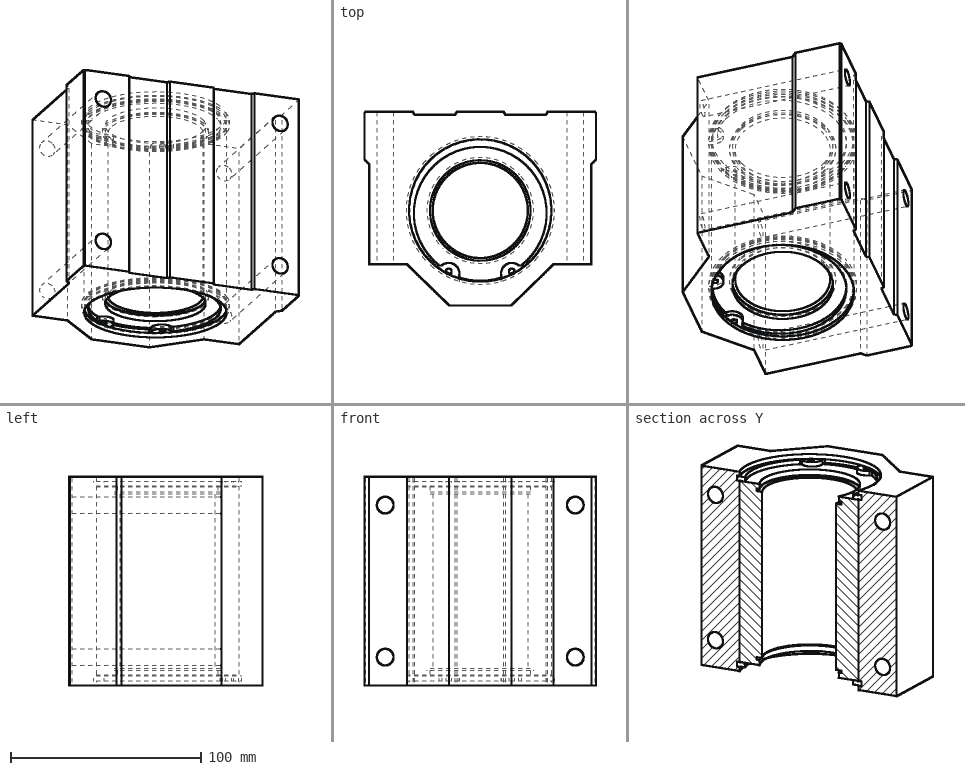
import cadquery as cq

WIDTH = 122.0
DEPTH = 102.0
HEIGHT = 110.0
BACK_Y = 52.0
NOSE_Y = BACK_Y - DEPTH

HEAD_BOTTOM_Y = 26.8
SIDE_STEP = 2.6
SHOULDER_Y = -28.3
SHOULDER_X = 38.7
NOSE_HALF_WIDTH = 16.3
BACK_CHAMFER = 0.7

CHANNEL_INNER_X = 12.3
CHANNEL_OUTER_X = 35.5
CHANNEL_DEPTH = 1.6
CHANNEL_TAPER = 1.0

MOUNT_HOLE_DIAMETER = 8.7
MOUNT_SPACING_X = 100.0
MOUNT_SPACING_Z = 80.0

BEARING_DIAMETER = 75.0
BEARING_LENGTH = 100.0
BEARING_BORE = 50.0
BEARING_CHAMFER = 0.5
LIP_DIAMETER = 53.0
LIP_DEPTH = 3.0
UNDERCUT_DIAMETER = 56.0
UNDERCUT_WIDTH = 1.1

RING_THICKNESS = 2.5
RING_DIAMETER = 78.0
RING_INNER_DIAMETER = 69.9
RING_INNER_OFFSET = 1.5
LUG_X = 16.6
LUG_Y = -33.2
LUG_RADIUS = 5.6
LUG_HOLE_Y = -32.1
LUG_HOLE_DIAMETER = 3.0
WEB_OUTER_X = 22.2
WEB_TOP_Y = -28.9
GAP_HALF_WIDTH = LUG_X - LUG_RADIUS
RING_BOTTOMS = (BEARING_LENGTH / 2, -BEARING_LENGTH / 2 - RING_THICKNESS)


def disc(diameter, bottom, height):
    """Solid cylinder on the bearing axis."""
    return cq.Workplane("XY").workplane(offset=bottom).circle(diameter / 2).extrude(height)


def make_block():
    """Housing outline, drawn as its right half and mirrored."""
    half_width = WIDTH / 2
    channel_y = BACK_Y - CHANNEL_DEPTH
    right_half = [
        (0, BACK_Y),
        (CHANNEL_INNER_X, BACK_Y),
        (CHANNEL_INNER_X + CHANNEL_TAPER, channel_y),
        (CHANNEL_OUTER_X - CHANNEL_TAPER, channel_y),
        (CHANNEL_OUTER_X, BACK_Y),
        (half_width - BACK_CHAMFER, BACK_Y),
        (half_width, BACK_Y - BACK_CHAMFER),
        (half_width, HEAD_BOTTOM_Y),
        (half_width - SIDE_STEP, HEAD_BOTTOM_Y - SIDE_STEP),
        (half_width - SIDE_STEP, SHOULDER_Y),
        (SHOULDER_X, SHOULDER_Y),
        (NOSE_HALF_WIDTH, NOSE_Y),
        (0, NOSE_Y),
    ]
    outline = cq.Workplane("XY").workplane(offset=-HEIGHT / 2).polyline(right_half)
    return outline.mirrorY().extrude(HEIGHT)


def make_housing():
    housing = make_block().cut(disc(BEARING_DIAMETER, -HEIGHT / 2, HEIGHT))
    for bottom in RING_BOTTOMS:
        housing = housing.cut(disc(RING_DIAMETER, bottom, RING_THICKNESS))
    mount_holes = (
        cq.Workplane("XZ", origin=(0, BACK_Y, 0))
        .rarray(MOUNT_SPACING_X, MOUNT_SPACING_Z, 2, 2)
        .circle(MOUNT_HOLE_DIAMETER / 2)
        .extrude(DEPTH)
    )
    return housing.cut(mount_holes)


def make_bearing():
    """Bored sleeve with a stepped opening and an undercut behind the lip at each end."""
    half_length = BEARING_LENGTH / 2
    undercut_outer_z = half_length - LIP_DEPTH
    undercut_inner_z = undercut_outer_z - UNDERCUT_WIDTH
    bearing = disc(BEARING_DIAMETER, -half_length, BEARING_LENGTH)
    bearing = bearing.faces("<Z or >Z").edges().chamfer(BEARING_CHAMFER)
    bearing = bearing.cut(disc(BEARING_BORE, -half_length, BEARING_LENGTH))
    for bottom in (-half_length, undercut_outer_z):
        bearing = bearing.cut(disc(LIP_DIAMETER, bottom, LIP_DEPTH))
    for bottom in (-undercut_outer_z, undercut_inner_z):
        bearing = bearing.cut(disc(UNDERCUT_DIAMETER, bottom, UNDERCUT_WIDTH))
    return bearing


def make_ring(bottom):
    """Open eccentric ring with two lugs that carry plier holes."""
    plane = cq.Workplane("XY").workplane(offset=bottom)
    outer = disc(RING_DIAMETER, bottom, RING_THICKNESS)
    inner = plane.center(0, -RING_INNER_OFFSET).circle(RING_INNER_DIAMETER / 2).extrude(RING_THICKNESS)
    lug_points = [(-LUG_X, LUG_Y), (LUG_X, LUG_Y)]
    lugs = plane.pushPoints(lug_points).circle(LUG_RADIUS).extrude(RING_THICKNESS)
    web_width = WEB_OUTER_X - LUG_X
    web_height = WEB_TOP_Y + RING_DIAMETER / 2
    web_x = LUG_X + web_width / 2
    web_y = WEB_TOP_Y - web_height / 2
    web_points = [(-web_x, web_y), (web_x, web_y)]
    webs = plane.pushPoints(web_points).rect(web_width, web_height).extrude(RING_THICKNESS)
    lugs = lugs.union(webs).intersect(outer)
    gap = (
        plane.center(0, -RING_DIAMETER / 4)
        .rect(2 * GAP_HALF_WIDTH, RING_DIAMETER / 2)
        .extrude(RING_THICKNESS)
    )
    hole_points = [(-LUG_X, LUG_HOLE_Y), (LUG_X, LUG_HOLE_Y)]
    holes = plane.pushPoints(hole_points).circle(LUG_HOLE_DIAMETER / 2).extrude(RING_THICKNESS)
    return outer.cut(inner).cut(gap).union(lugs).cut(holes)


housing = make_housing()
bearing = make_bearing()
rings = [make_ring(bottom) for bottom in RING_BOTTOMS]

result = cq.Compound.makeCompound([housing.val(), bearing.val(), *[ring.val() for ring in rings]])